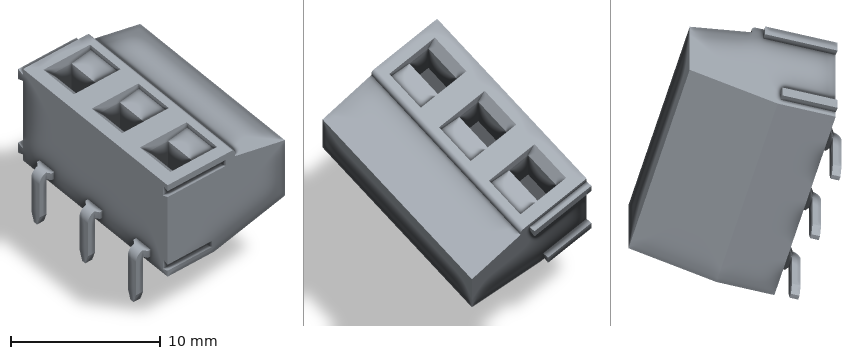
import cadquery as cq
import math


POLES = 3
PITCH = 5.08
LENGTH = 15.74
RAIL_DEPTH = 0.5
BODY_WIDTH = LENGTH - RAIL_DEPTH
BODY_DEPTH = 10.1
BODY_HEIGHT = 8.09
CROWN_DEPTH = 5.81
CROWN_RADIUS = 0.31
CROWN_FOOT_Z = 7.46
BACK_TOP_Z = 6.5
BACK_BOTTOM_Z = 1.59
SOLE_DEPTH = 4.01

RAIL_HEIGHT = 0.9
RAIL_INSET = 0.79
DOVETAIL_ANGLE = 20.0
UPPER_RAIL_LENGTH = 5.02
LOWER_RAIL_LENGTH = 3.82

POCKET_WIDTH = 3.21
POCKET_FRONT_Y = 1.0
POCKET_BACK_Y = 5.02
WELL_FRONT_Y = 1.67
WELL_BACK_Y = 3.34
MOUTH_DEPTH = 0.66
SHELF_BACK_DEPTH = 0.41
SIDE_TAPER = 0.11
POCKET_DEPTH = BODY_HEIGHT / 2

PIN_WIDTH = 0.88
PIN_THICKNESS = 0.6
PIN_REACH = 0.99
PIN_TOP_Z = 1.2
PIN_BOTTOM_Z = -3.3
BEND_RADIUS = 0.75
TIP_WIDTH = 0.33
TIP_HEIGHT = 0.8
TAB_WIDTH = 1.53
TAB_TAPER = 0.2


def make_housing():
    """Side profile extruded across the width, with the rear crown edge rounded."""
    return (
        cq.Workplane("YZ")
        .moveTo(0, 0)
        .lineTo(SOLE_DEPTH, 0)
        .lineTo(BODY_DEPTH, BACK_BOTTOM_Z)
        .lineTo(BODY_DEPTH, BACK_TOP_Z)
        .lineTo(CROWN_DEPTH, CROWN_FOOT_Z)
        .lineTo(CROWN_DEPTH, BODY_HEIGHT - CROWN_RADIUS)
        .radiusArc((CROWN_DEPTH - CROWN_RADIUS, BODY_HEIGHT), -CROWN_RADIUS)
        .lineTo(0, BODY_HEIGHT)
        .close()
        .extrude(BODY_WIDTH)
    )


def make_dovetail(root_x, center_z, length):
    """Dovetail bar running back from the front face, widest on its left side."""
    wide_half = RAIL_HEIGHT / 2
    narrow_half = wide_half - RAIL_DEPTH * math.tan(math.radians(DOVETAIL_ANGLE))
    outer_x = root_x - RAIL_DEPTH
    return (
        cq.Workplane("XZ")
        .polyline([
            (root_x, center_z - narrow_half),
            (root_x, center_z + narrow_half),
            (outer_x, center_z + wide_half),
            (outer_x, center_z - wide_half),
        ])
        .close()
        .extrude(-length)
    )


def make_pocket(center_x):
    """Screw pocket: the common volume of its side profile and its front profile."""
    mouth_z = BODY_HEIGHT - MOUTH_DEPTH
    floor_z = BODY_HEIGHT - POCKET_DEPTH
    top_half = POCKET_WIDTH / 2
    well_half = top_half - SIDE_TAPER
    side_profile = (
        cq.Workplane("YZ", origin=(center_x, 0, 0))
        .polyline([
            (POCKET_FRONT_Y, BODY_HEIGHT),
            (POCKET_BACK_Y, BODY_HEIGHT),
            (POCKET_BACK_Y, BODY_HEIGHT - SHELF_BACK_DEPTH),
            (WELL_BACK_Y, mouth_z),
            (WELL_BACK_Y, floor_z),
            (WELL_FRONT_Y, floor_z),
            (WELL_FRONT_Y, mouth_z),
        ])
        .close()
        .extrude(top_half, both=True)
    )
    front_profile = (
        cq.Workplane("XZ", origin=(center_x, 0, 0))
        .polyline([
            (-top_half, BODY_HEIGHT),
            (top_half, BODY_HEIGHT),
            (well_half, mouth_z),
            (well_half, floor_z),
            (-well_half, floor_z),
            (-well_half, mouth_z),
        ])
        .close()
        .extrude(-BODY_DEPTH)
    )
    return side_profile.intersect(front_profile)


def make_pin(center_x):
    """Pin leaving the front face through a tapered tab, bent down to a pointed tip."""
    bend_y = BEND_RADIUS - PIN_REACH
    bend_z = PIN_TOP_Z - BEND_RADIUS
    inner_radius = BEND_RADIUS - PIN_THICKNESS
    inner_y = PIN_THICKNESS - PIN_REACH
    underside_z = PIN_TOP_Z - PIN_THICKNESS
    pin_half = PIN_WIDTH / 2
    tip_half = TIP_WIDTH / 2
    tab_half = TAB_WIDTH / 2

    strip = (
        cq.Workplane("YZ", origin=(center_x, 0, 0))
        .moveTo(0, PIN_TOP_Z)
        .lineTo(bend_y, PIN_TOP_Z)
        .radiusArc((-PIN_REACH, bend_z), -BEND_RADIUS)
        .lineTo(-PIN_REACH, PIN_BOTTOM_Z)
        .lineTo(inner_y, PIN_BOTTOM_Z)
        .lineTo(inner_y, bend_z)
        .radiusArc((bend_y, underside_z), inner_radius)
        .lineTo(0, underside_z)
        .close()
        .extrude(pin_half, both=True)
    )
    point = (
        cq.Workplane("XZ", origin=(center_x, 0, 0))
        .polyline([
            (-pin_half, PIN_TOP_Z),
            (pin_half, PIN_TOP_Z),
            (pin_half, PIN_BOTTOM_Z + TIP_HEIGHT),
            (tip_half, PIN_BOTTOM_Z),
            (-tip_half, PIN_BOTTOM_Z),
            (-pin_half, PIN_BOTTOM_Z + TIP_HEIGHT),
        ])
        .close()
        .extrude(PIN_REACH)
    )
    tab_plan = (
        cq.Workplane("XY", origin=(center_x, 0, underside_z))
        .polyline([
            (-tab_half, 0),
            (-tab_half, bend_y),
            (-pin_half, bend_y - TAB_TAPER),
            (pin_half, bend_y - TAB_TAPER),
            (tab_half, bend_y),
            (tab_half, 0),
        ])
        .close()
        .extrude(PIN_THICKNESS)
    )
    tab_side = (
        cq.Workplane("YZ", origin=(center_x, 0, 0))
        .moveTo(0, PIN_TOP_Z)
        .lineTo(bend_y, PIN_TOP_Z)
        .radiusArc((-PIN_REACH, bend_z), -BEND_RADIUS)
        .lineTo(0, bend_z)
        .close()
        .extrude(tab_half, both=True)
    )
    return strip.intersect(point).union(tab_plan.intersect(tab_side))


result = make_housing()

for center_z, rail_length in (
    (BODY_HEIGHT - RAIL_INSET, UPPER_RAIL_LENGTH),
    (RAIL_INSET, LOWER_RAIL_LENGTH),
):
    result = result.union(make_dovetail(0, center_z, rail_length))
    result = result.cut(make_dovetail(BODY_WIDTH, center_z, rail_length))

first_pole_x = (BODY_WIDTH - (POLES - 1) * PITCH) / 2
for pole in range(POLES):
    pole_x = first_pole_x + pole * PITCH
    result = result.cut(make_pocket(pole_x))
    result = result.union(make_pin(pole_x))